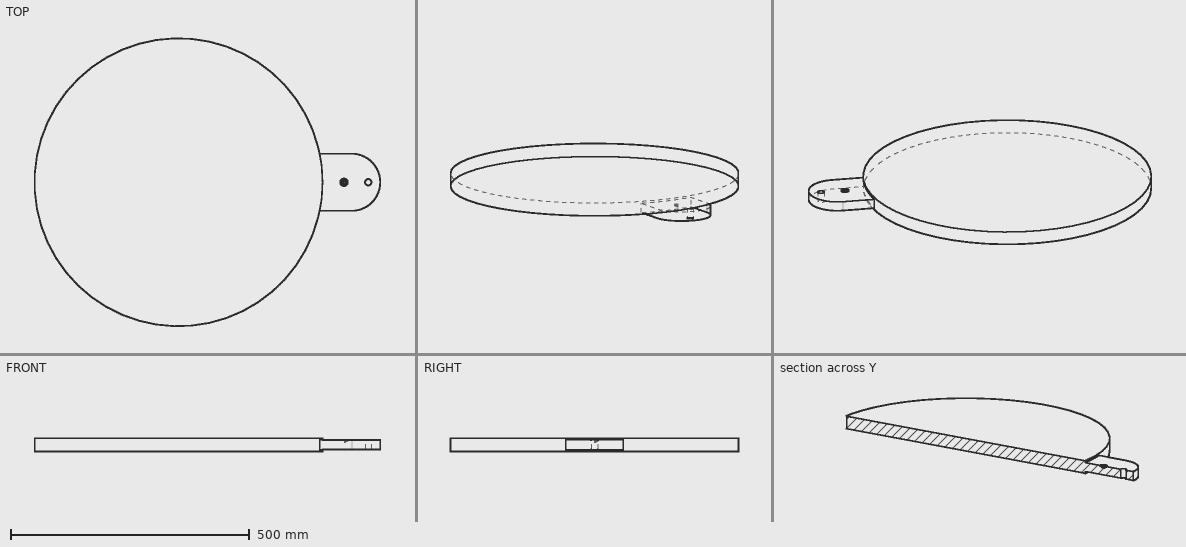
import cadquery as cq

plate_diameter = 603.0
plate_thickness = 28.0
plate_radius = plate_diameter / 2

overall_length = 724
tab_width = 120.0
tab_thickness = 20.0
tab_end_radius = tab_width / 2
tab_tip_x = overall_length - plate_radius
tab_end_center_x = tab_tip_x - tab_end_radius
tab_top_z = tab_thickness / 2

through_hole_diameter = 13.0
through_hole_tip_distance = 25.0
through_hole_x = tab_tip_x - through_hole_tip_distance

recess_diameters = (16.0, 11.0, 5.0)
recess_step_depth = 1.5
recess_tip_distance = 76.0
recess_x = tab_tip_x - recess_tip_distance


def make_plate():
    return cq.Workplane("XY").circle(plate_radius).extrude(plate_thickness / 2, both=True)


def make_tab():
    outline = (
        cq.Workplane("XY")
        .moveTo(0, -tab_end_radius)
        .lineTo(tab_end_center_x, -tab_end_radius)
        .threePointArc((tab_tip_x, 0), (tab_end_center_x, tab_end_radius))
        .lineTo(0, tab_end_radius)
        .close()
    )
    return outline.extrude(tab_thickness / 2, both=True)


def make_hole(x, diameter, depth):
    return cq.Workplane("XY", origin=(x, 0, tab_top_z)).circle(diameter / 2).extrude(-depth)


result = make_plate().union(make_tab())
result = result.cut(make_hole(through_hole_x, through_hole_diameter, tab_thickness))

for step, diameter in enumerate(recess_diameters, start=1):
    result = result.cut(make_hole(recess_x, diameter, step * recess_step_depth))